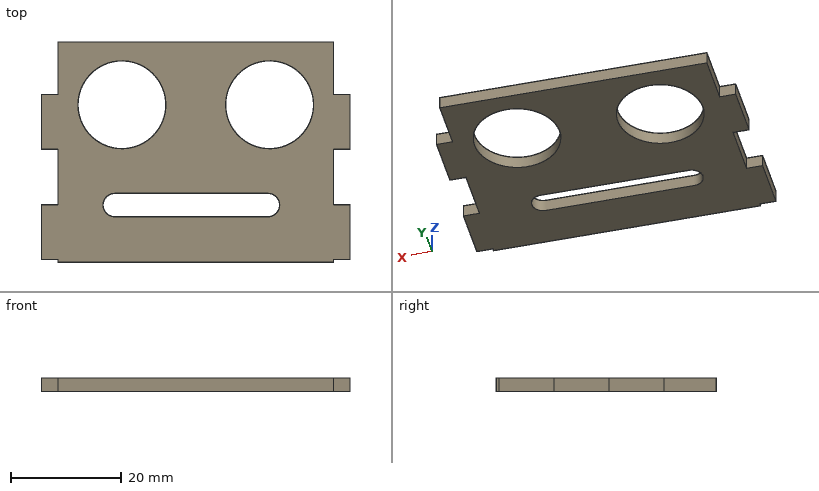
import cadquery as cq

plate_width = 50.0
plate_depth = 40.0
thickness = 2.5

tab_reach = 3.0
tab_length = 10.0
tab_gap = 10.0
tab_front_inset = 0.5

opening_diameter = 15.9
opening_spacing = 26.8
opening_rear_inset = 11.4

slot_length = 32.0
slot_width = 4.2
slot_center_x = -0.8
slot_front_inset = 10.4

front_edge = -plate_depth / 2
rear_edge = plate_depth / 2


def make_plate():
    return cq.Workplane("XY").box(plate_width, plate_depth, thickness)


def make_tab_bars():
    """Bars across the full width whose ends stick out as the tabs."""
    first_center_y = front_edge + tab_front_inset + tab_length / 2
    second_center_y = first_center_y + tab_length + tab_gap
    return (
        cq.Workplane("XY")
        .pushPoints([(0, first_center_y), (0, second_center_y)])
        .box(plate_width + 2 * tab_reach, tab_length, thickness)
    )


def cut_openings(body):
    center_y = rear_edge - opening_rear_inset
    return (
        body.faces(">Z")
        .workplane(origin=(0, 0, 0))
        .pushPoints([(-opening_spacing / 2, center_y), (opening_spacing / 2, center_y)])
        .hole(opening_diameter)
    )


def cut_slot(body):
    return (
        body.faces(">Z")
        .workplane(origin=(0, 0, 0))
        .center(slot_center_x, front_edge + slot_front_inset)
        .slot2D(slot_length, slot_width)
        .cutThruAll()
    )


body = make_plate().union(make_tab_bars())
body = cut_openings(body)
result = cut_slot(body)